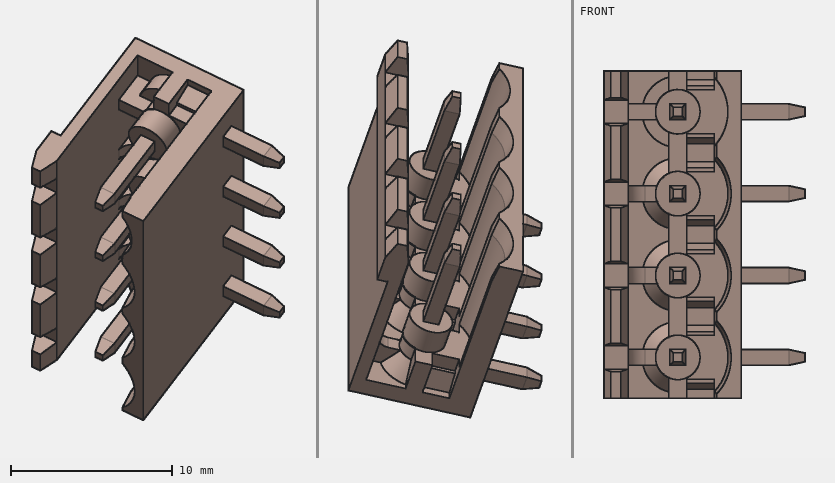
import cadquery as cq


pin_count = 4
pitch = 5.08
length = pin_count * pitch
pin_levels = [pitch / 2 + i * pitch for i in range(pin_count)]
top_pin_level = pin_levels[-1]

depth = 12.0
hook_overhang = 0.67
latch_wall_inner = 1.5
plain_wall_inner = 6.87
housing_right = 8.53
floor_y = 10.9
seat_y = 8.65
step_y = 9.61
hook_length = 3.07
mouth_taper = 1.25
hook_tip_left = 0.45
hook_tip_right = 1.05
mouth_flare = 0.15

pin_x = 4.6
rib_width = 1.1
rib_right = pin_x + rib_width / 2
base_radius = 2.21
neck_radius = 1.32
boss_radius = 1.38
boss_front = 7.03
web_curve_end = 2.55
web_curve_radius = 1.12

ridge_half_width = 1.36
ridge_foot_half_width = 1.6
ridge_base_half_width = 2.0

groove_radius = 3.1
groove_mouth_radius = 3.31
notch_floor_width = 1.45
notch_mouth_width = 1.77

pin_width = 1.0
pin_tip_width = 0.55
pin_taper = 1.04
pin_front = 1.2
tail_end = 12.5
tail_y = 10.04


def box(x0, x1, y0, y1, z0, z1):
    """Axis-aligned block between two corners."""
    return cq.Workplane("XY").box(x1 - x0, y1 - y0, z1 - z0, centered=False).translate((x0, y0, z0))


def turned(profile, z):
    """Revolve (radius, y) points around the pin axis at height z."""
    ring = cq.Workplane("XY").polyline(profile).close().revolve(360, (0, 0, 0), (0, 1, 0))
    return ring.translate((pin_x, 0, z))


def make_housing():
    """U-shaped housing with a latch hook on one wall and a flared mouth on the other."""
    outline = [
        (hook_overhang, depth),
        (housing_right, depth),
        (housing_right, 0),
        (plain_wall_inner + mouth_flare, 0),
        (plain_wall_inner, mouth_taper),
        (plain_wall_inner, floor_y),
        (latch_wall_inner, floor_y),
        (latch_wall_inner, mouth_taper),
        (hook_tip_right, 0),
        (hook_tip_left, 0),
        (0, mouth_taper),
        (0, hook_length),
        (hook_overhang, hook_length),
    ]
    shell = cq.Workplane("XY").polyline(outline).close().extrude(length)
    rib = box(pin_x - rib_width / 2, rib_right, seat_y, floor_y, 0, length)
    return shell.union(rib)


def make_groove(z):
    """Round clearance along the plain wall; all but the top one open out at the mouth."""
    profile = [(0, 0), (groove_radius, 0), (groove_radius, seat_y), (0, seat_y)]
    if z != top_pin_level:
        profile[1:2] = [(groove_mouth_radius, 0), (groove_radius, mouth_taper)]
    plain_side = box(pin_x, housing_right, 0, seat_y, 0, length)
    return turned(profile, z).intersect(plain_side)


def make_notch(z):
    """Flared notch across the tip of the latch hook."""
    outline = [
        (0, z - notch_mouth_width / 2),
        (mouth_taper, z - notch_floor_width / 2),
        (mouth_taper, z + notch_floor_width / 2),
        (0, z + notch_mouth_width / 2),
    ]
    return cq.Workplane("YZ").polyline(outline).close().extrude(latch_wall_inner)


def make_support(z):
    """Round base on the latch side: a plain cylinder at the top pin, a cone at the others."""
    profile = [(0, floor_y), (base_radius, floor_y)]
    if z == top_pin_level:
        profile.append((base_radius, step_y))
    profile += [(neck_radius, step_y), (neck_radius, seat_y), (0, seat_y)]
    latch_side = box(latch_wall_inner, pin_x, seat_y, floor_y, 0, length)
    return turned(profile, z).intersect(latch_side)


def make_web(z):
    """Web from the latch wall to the support: straight at the top pin, hollowed at the others."""
    web = box(latch_wall_inner, pin_x, seat_y, floor_y, z - pin_width / 2, z + pin_width / 2)
    if z == top_pin_level:
        return web
    hollow = (
        cq.Workplane("XY", origin=(0, 0, z - pin_width / 2))
        .moveTo(latch_wall_inner, seat_y)
        .radiusArc((web_curve_end, step_y), web_curve_radius)
        .lineTo(pin_x, step_y)
        .lineTo(pin_x, seat_y)
        .close()
        .extrude(pin_width)
    )
    return web.cut(hollow)


def make_ridge(z):
    """Stepped ridge from the rib to the plain wall, with sloped feet on the floor."""
    half_outline = [
        (seat_y, ridge_half_width),
        (step_y, ridge_half_width),
        (step_y, ridge_foot_half_width),
        (floor_y, ridge_base_half_width),
    ]
    mirrored = [(y, -offset) for y, offset in reversed(half_outline)]
    ridge = cq.Workplane("YZ", origin=(rib_right, 0, z)).polyline(half_outline + mirrored).close()
    return ridge.extrude(plain_wall_inner - rib_right)


def make_boss(z):
    """Round collar around the pin in front of the rib."""
    return turned([(0, boss_front), (boss_radius, boss_front), (boss_radius, seat_y), (0, seat_y)], z)


def square_pin(workplane, total_length):
    """Square bar along the workplane normal, narrowing at its far end."""
    straight = total_length - pin_taper
    bar = workplane.rect(pin_width, pin_width).extrude(straight)
    tip = (
        workplane.workplane(offset=straight)
        .rect(pin_width, pin_width)
        .workplane(offset=pin_taper)
        .rect(pin_tip_width, pin_tip_width)
        .loft(ruled=True)
    )
    return bar.union(tip)


def make_contact(z):
    """Contact blade towards the mouth and solder tail out of the plain wall."""
    blade = square_pin(cq.Workplane("XZ", origin=(pin_x, tail_y, z)), tail_y - pin_front)
    tail = square_pin(cq.Workplane("YZ", origin=(pin_x, tail_y, z)), tail_end - pin_x)
    return blade.union(tail)


result = make_housing()
for level in pin_levels:
    result = result.cut(make_groove(level)).cut(make_notch(level))
for level in pin_levels:
    for make_part in (make_support, make_web, make_ridge, make_boss, make_contact):
        result = result.union(make_part(level))